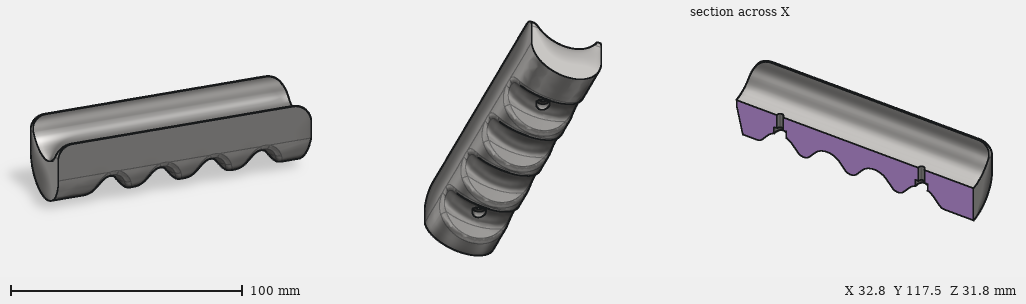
import cadquery as cq
import math

width = 32.77
length = 117.475
height = 31.75

belly_height = 15.4
scoop_radius = 15.875
scoop_floor = 18.8

rear_corner_radius = 8.9
front_corner_radius = 6.35
rear_taper = 3.05

groove_count = 4
hole_spacing = 70.0
groove_pitch = hole_spacing / (groove_count - 1)
first_groove_inset = 25.85
groove_depth = 8.0
groove_tip_radius = 7.5
groove_flank_angle = math.radians(52)
groove_belly_radius = 24.5
groove_edge_fillet = 3.0
cutter_overrun = 6.0

hole_diameter = 3.0
head_diameter = 6.0
head_seat_height = 11.0

half_width = width / 2
front_y = -length / 2
rear_y = length / 2
groove_ys = [front_y + first_groove_inset + i * groove_pitch for i in range(groove_count)]


def make_bar():
    """Solid bar with flat sides, a flat top and a half-elliptical belly."""
    return (
        cq.Workplane("XZ", origin=(0, rear_y, 0))
        .moveTo(-half_width, belly_height)
        .lineTo(-half_width, height)
        .lineTo(half_width, height)
        .lineTo(half_width, belly_height)
        .ellipseArc(half_width, belly_height, 180, 360, sense=-1, startAtCurrent=True)
        .close()
        .extrude(length)
    )


def make_side_envelope():
    """Side outline: rounded upper corners and a rear end that tapers below the sides."""
    diagonal = 1 - math.sqrt(0.5)
    rear_mid = rear_corner_radius * diagonal
    front_mid = front_corner_radius * diagonal
    return (
        cq.Workplane("YZ")
        .moveTo(front_y, 0)
        .lineTo(rear_y - rear_taper, 0)
        .lineTo(rear_y, belly_height)
        .lineTo(rear_y, height - rear_corner_radius)
        .threePointArc((rear_y - rear_mid, height - rear_mid), (rear_y - rear_corner_radius, height))
        .lineTo(front_y + front_corner_radius, height)
        .threePointArc((front_y + front_mid, height - front_mid), (front_y, height - front_corner_radius))
        .close()
        .extrude(half_width, both=True)
    )


def make_groove_cutter(y):
    """Ring with a round-tipped V profile, turned about an axis along Y above the handle."""
    tip_half_width = groove_tip_radius * math.sin(groove_flank_angle)
    tip_drop = groove_tip_radius * (1 - math.cos(groove_flank_angle))
    base_z = -cutter_overrun
    flank_height = groove_depth - tip_drop - base_z
    base_half_width = tip_half_width + flank_height / math.tan(groove_flank_angle)
    axis_z = groove_depth + groove_belly_radius
    return (
        cq.Workplane("YZ")
        .moveTo(y - base_half_width, base_z)
        .lineTo(y - tip_half_width, groove_depth - tip_drop)
        .threePointArc((y, groove_depth), (y + tip_half_width, groove_depth - tip_drop))
        .lineTo(y + base_half_width, base_z)
        .close()
        .revolve(360, (0, axis_z, 0), (1, axis_z, 0))
    )


def cut_grooves(bar):
    """Cut the finger grooves across the belly and round their rims, the only spline edges."""
    for y in groove_ys:
        bar = bar.cut(make_groove_cutter(y))
    return bar.edges("%BSPLINE").fillet(groove_edge_fillet)


def make_scoop():
    """Cylindrical channel along the top."""
    scoop_axis_z = scoop_floor + scoop_radius
    return (
        cq.Workplane("XZ", origin=(0, rear_y, 0))
        .center(0, scoop_axis_z)
        .circle(scoop_radius)
        .extrude(length)
    )


def make_screw_hole(y):
    """Through hole with a wider recess for the screw head, entered from the groove."""
    shank = cq.Workplane("XY").center(0, y).circle(hole_diameter / 2).extrude(height)
    head = cq.Workplane("XY").center(0, y).circle(head_diameter / 2).extrude(head_seat_height)
    return shank.union(head)


result = cut_grooves(make_bar())
result = result.intersect(make_side_envelope())
result = result.cut(make_scoop())
for hole_y in (groove_ys[0], groove_ys[-1]):
    result = result.cut(make_screw_hole(hole_y))